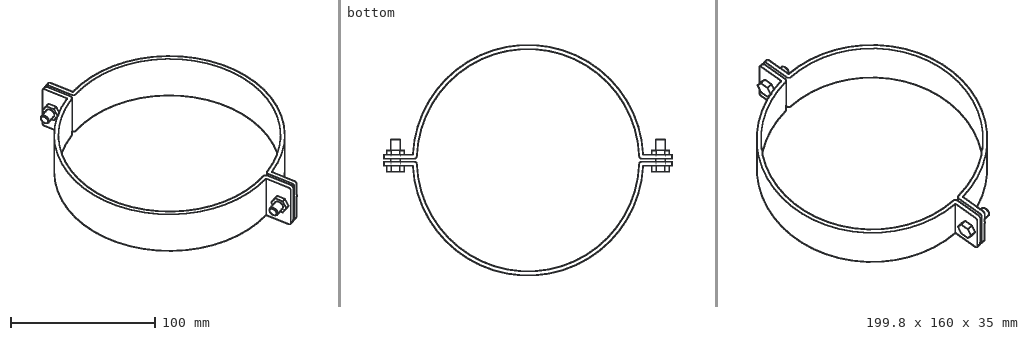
import cadquery as cq
import math

overall_length = 199.8
ring_outer_diameter = 160.0
band_width = 35.0
band_thickness = 3.0
ear_gap = 1.8
bend_radius = 2.0
ear_corner_radius = 2.0

bolt_inset = 8.0
shank_diameter = 6.8
hex_across_flats = 10.5
head_height = 4.2
nut_height = 3.0
tip_projection = 7.8
tip_chamfer = 0.5

ring_outer_radius = ring_outer_diameter / 2
ring_inner_radius = ring_outer_radius - band_thickness
ear_end_x = overall_length / 2
ear_inner_y = ear_gap / 2
ear_outer_y = ear_inner_y + band_thickness
bolt_x = ear_end_x - bolt_inset
hex_across_corners = hex_across_flats / math.cos(math.radians(30))


def cylinder_along_y(x, diameter, y_start, y_end):
    """Round bar parallel to Y at mid-height, between two Y positions."""
    plane = cq.Plane(origin=(x, y_start, 0), xDir=(1, 0, 0), normal=(0, 1, 0))
    return cq.Workplane(plane).circle(diameter / 2).extrude(y_end - y_start)


def hexagon_along_y(x, y_start, y_end):
    """Hexagonal prism parallel to Y, with two corners pointing along X."""
    plane = cq.Plane(origin=(x, y_start, 0), xDir=(1, 0, 0), normal=(0, 1, 0))
    return cq.Workplane(plane).polygon(6, hex_across_corners).extrude(y_end - y_start)


def make_rear_half():
    """Half ring on the +Y side with its two drilled ears."""
    inner_x = math.sqrt(ring_inner_radius**2 - ear_inner_y**2)
    outer_x = math.sqrt(ring_outer_radius**2 - ear_outer_y**2)
    half = (
        cq.Workplane("XY")
        .workplane(offset=-band_width / 2)
        .moveTo(-ear_end_x, ear_inner_y)
        .lineTo(-inner_x, ear_inner_y)
        .threePointArc((0, ring_inner_radius), (inner_x, ear_inner_y))
        .lineTo(ear_end_x, ear_inner_y)
        .lineTo(ear_end_x, ear_outer_y)
        .lineTo(outer_x, ear_outer_y)
        .threePointArc((0, ring_outer_radius), (-outer_x, ear_outer_y))
        .lineTo(-ear_end_x, ear_outer_y)
        .close()
        .extrude(band_width)
    )

    for x in (-inner_x, inner_x):
        bend_edge = cq.selectors.NearestToPointSelector((x, ear_inner_y, 0))
        half = half.edges("|Z").edges(bend_edge).fillet(bend_radius)

    half = half.faces("<X or >X").edges("|Y").fillet(ear_corner_radius)

    for x in (-bolt_x, bolt_x):
        half = half.cut(cylinder_along_y(x, shank_diameter, ear_inner_y, ear_outer_y))
    return half


def make_bolt(x):
    """Hex bolt with its nut, head on the +Y side and tip on the -Y side."""
    head_top_y = ear_outer_y + head_height
    nut_face_y = -ear_outer_y - nut_height
    tip_y = nut_face_y - tip_projection
    shank = cylinder_along_y(x, shank_diameter, tip_y, head_top_y)
    shank = shank.faces("<Y").chamfer(tip_chamfer)
    head = hexagon_along_y(x, ear_outer_y, head_top_y)
    nut = hexagon_along_y(x, nut_face_y, -ear_outer_y)
    return shank.union(head).union(nut)


rear_half = make_rear_half()
front_half = rear_half.mirror("XZ")
bolts = [make_bolt(x) for x in (-bolt_x, bolt_x)]

result = cq.Compound.makeCompound(
    [rear_half.val(), front_half.val(), *[bolt.val() for bolt in bolts]]
)